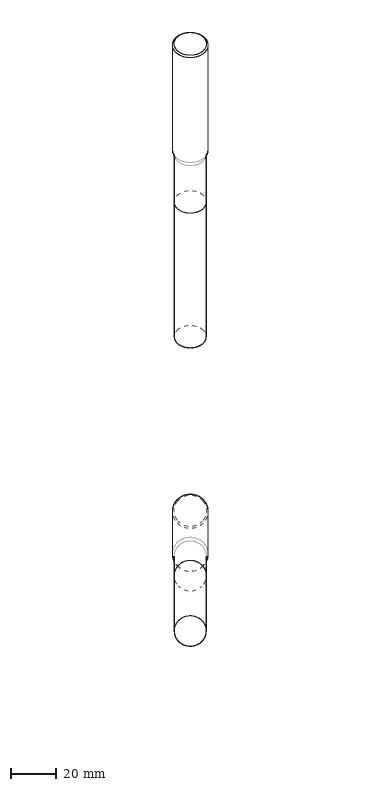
import cadquery as cq
import math

total_length = 185.0
shank_diameter = 16.0
shank_length = 66.0
shank_chamfer = 0.7
taper_length = 2.8
drill_diameter = 14.2
cutting_length = 86.5
point_angle = 140.0

shank_radius = shank_diameter / 2
drill_radius = drill_diameter / 2
tip_height = drill_radius / math.tan(math.radians(point_angle / 2))
shank_bottom = total_length - shank_length
neck_top = shank_bottom - taper_length


def revolve_profile(points):
    """Revolve a closed (radius, height) outline around the Z axis."""
    return cq.Workplane("XZ").polyline(points).close().revolve(360, (0, 0, 0), (0, 1, 0))


def make_shank():
    """Chamfered shank that tapers down to a neck of the drill diameter."""
    return revolve_profile([
        (0, cutting_length),
        (drill_radius, cutting_length),
        (drill_radius, neck_top),
        (shank_radius, shank_bottom),
        (shank_radius, total_length - shank_chamfer),
        (shank_radius - shank_chamfer, total_length),
        (0, total_length),
    ])


def make_cutting_body():
    """Plain cylinder with a conical point, butted against the neck."""
    return revolve_profile([
        (0, 0),
        (drill_radius, tip_height),
        (drill_radius, cutting_length),
        (0, cutting_length),
    ])


shank = make_shank()
cutting_body = make_cutting_body()
result = cq.Compound.makeCompound([shank.val(), cutting_body.val()])